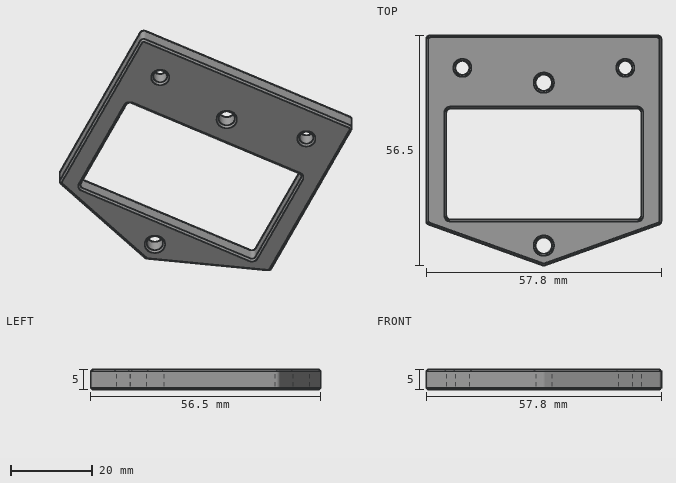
import cadquery as cq
import math

width = 57.8
length = 56.5
thickness = 5.0
side_length = 46.25
corner_radius = 1.0
edge_chamfer = 0.5

window_width = 47.8
window_height = 27.2
window_back_margin = 18.0
window_corner_radius = 1.0

side_hole_diameter = 3.4
side_hole_spacing = 40.0
side_hole_setback = 8.0
center_hole_diameter = 4.0
center_hole_setback = 11.6
center_hole_pitch = 40.0
hole_chamfer = edge_chamfer

back_y = length / 2


def sharp_point_length():
    """Length to the unrounded point, so that the rounded plate has the set length."""
    sharp_length = length
    for _ in range(5):
        slope = math.atan2(sharp_length - side_length, width / 2)
        sharp_length = length + corner_radius * (1 / math.cos(slope) - 1)
    return sharp_length


def make_plate():
    shoulder_y = back_y - side_length
    outline = [
        (-width / 2, back_y),
        (width / 2, back_y),
        (width / 2, shoulder_y),
        (0, back_y - sharp_point_length()),
        (-width / 2, shoulder_y),
    ]
    plate = cq.Workplane("XY").polyline(outline).close().extrude(thickness)
    plate = plate.edges("|Z").fillet(corner_radius)
    return plate.faces("<Z or >Z").edges().chamfer(edge_chamfer)


def cut_window(plate):
    """Cut the window and chamfer its rim on both faces."""
    window_y = back_y - window_back_margin - window_height / 2
    opening = (
        cq.Workplane("XY")
        .center(0, window_y)
        .rect(window_width, window_height)
        .extrude(thickness)
        .edges("|Z")
        .fillet(window_corner_radius)
    )
    framed = plate.cut(opening)
    rims = [
        edge
        for face in framed.faces("<Z or >Z").vals()
        for wire in face.innerWires()
        for edge in wire.Edges()
    ]
    return framed.newObject(rims).chamfer(edge_chamfer)


def make_hole(x, setback, diameter):
    """Hole cutter with a conical flare at both faces."""
    radius = diameter / 2
    mouth_radius = radius + hole_chamfer
    profile = [
        (0, 0),
        (mouth_radius, 0),
        (radius, hole_chamfer),
        (radius, thickness - hole_chamfer),
        (mouth_radius, thickness),
        (0, thickness),
    ]
    cutter = cq.Workplane("XZ").polyline(profile).close().revolve(360, (0, 0, 0), (0, 1, 0))
    return cutter.translate((x, back_y - setback, 0))


result = cut_window(make_plate())
for side in (-1, 1):
    side_hole_x = side * side_hole_spacing / 2
    result = result.cut(make_hole(side_hole_x, side_hole_setback, side_hole_diameter))
for setback in (center_hole_setback, center_hole_setback + center_hole_pitch):
    result = result.cut(make_hole(0, setback, center_hole_diameter))